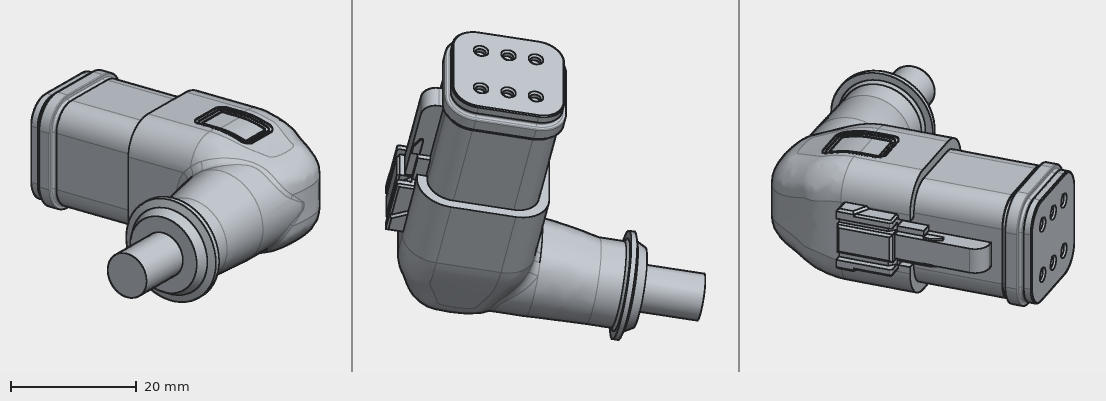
import cadquery as cq

body_size = 18.2
body_corner = 4.2
groove_depth = 0.25
groove_start = 1.4
groove_end = 5.1
seal_size = 19.7
seal_start = 2.2
seal_end = 4.3
seal_foot_radius = 0.4
seal_rounding = 0.15
lip_chamfer = 0.2

contact_y_pitch = 4.45
contact_z_offset = 4.5
contact_diameter = 1.7
contact_depth = 1.0
contact_chamfer = 0.35

hood_size = 21.5
hood_corner = 5.5
hood_start = 20.25
hood_overlap = 1.0
hood_straight_end = 32.2
elbow_side_y = 9.25
elbow_top_z = 8.85
elbow_end_z = 6.2
elbow_end_slope = 0.5
elbow_side_overrun = 1.0
elbow_shoulder = (45.4, 6.4)

leg_x = 40.21
leg_radius = 7.0
leg_root_radius = 8.0
leg_root_x = leg_x + leg_radius - leg_root_radius
leg_crown_y = -1.0
taper_start_y = -11.85
taper_end_y = -21.75
taper_middle_y = -15.5
taper_middle_radius = 7.72
root_fillet = 2.0
touch_tolerance = 0.001

flange_radius = 8.75
flange_top_y = -26.35
flange_bottom_y = -27.25
flange_neck = 0.5
nose_base_radius = 7.4
nose_base_y = -27.7
nose_tip_radius = 6.5
nose_tip_y = -29.35
cable_radius = 3.8
cable_end_y = -39.37

latch_top_y = 13.54
tongue_top_y = 12.35
tongue_half_width = 2.15
tongue_start = 7.0
tongue_front_radius = 2.4
latch_start = 22.25
latch_end = 31.8
latch_rounding = 0.4
latch_embed = 1.5
rail_inner_z = 3.7
rail_outer_z = 5.0
web_ramp = 1.1
pad_outer_z = 5.4
pad_base_y = 10.25
pad_base_x = 27.0
pad_top_x = 28.8
pad_slope = 0.4
rail_bevel = 0.35
tab_half_width = 2.5
slot_half_width = 4.1
ledge_start = 17.7
ledge_top_y = 11.15
ledge_half_width = 3.1
barb_half_width = 2.5
barb_points = [(14.4, 10.9), (14.4, 11.4), (16.0, 12.2), (17.4, 12.2), (17.4, 10.9)]

badge_center = (33.1, 0.15)
badge_length = 10.9
badge_width = 7.9
badge_corner = 1.4
badge_insets = (0, 0.55, 1.15)
badge_step = 0.17


def rounded_bar(size, corner, start, end):
    """Square bar along X with rounded long edges."""
    bar = cq.Workplane("YZ").workplane(offset=start).rect(size, size).extrude(end - start)
    return bar.edges("|X").fillet(corner)


def box(x_span, y_span, z_span):
    """Box from its three coordinate ranges."""
    spans = (x_span, y_span, z_span)
    sizes = [high - low for low, high in spans]
    return cq.Workplane("XY").box(*sizes, centered=False).translate([low for low, high in spans])


def make_seal():
    """Sealing rib on the groove floor, with concave feet and rounded crests."""
    floor_size = body_size - 2 * groove_depth
    seal_corner = body_corner + (seal_size - body_size) / 2
    floor = rounded_bar(floor_size, body_corner - groove_depth, groove_start, groove_end)
    rib = rounded_bar(seal_size, seal_corner, seal_start, seal_end)
    rib = rib.faces("<X or >X").edges().fillet(seal_rounding)
    seal = floor.union(rib)
    flanks = [face for face in seal.faces("|X").vals() if face.innerWires()]
    feet = [edge for face in flanks for edge in face.innerWires()[0].Edges()]
    return seal.newObject(feet).fillet(seal_foot_radius)


def make_body():
    lip = rounded_bar(body_size, body_corner, 0, groove_start).faces("<X").chamfer(lip_chamfer)
    shell = rounded_bar(body_size, body_corner, groove_end, hood_start + hood_overlap)
    return lip.union(make_seal()).union(shell)


def cut_contacts(part):
    """Shallow chamfered openings in two rows of three."""
    rows = (-contact_z_offset, contact_z_offset)
    columns = (-contact_y_pitch, 0, contact_y_pitch)
    for y, z in [(y, z) for y in columns for z in rows]:
        opening = cq.Workplane("YZ", origin=(0, y, z)).circle(contact_diameter / 2).extrude(contact_depth)
        mouth = cq.Solid.makeCone(contact_diameter / 2 + contact_chamfer, contact_diameter / 2,
                                  contact_chamfer, pnt=cq.Vector(0, y, z), dir=cq.Vector(1, 0, 0))
        part = part.cut(opening).cut(cq.Workplane(mouth))
    return part


def make_elbow():
    """Hood end whose plan and side outlines both close in toward the far end."""
    half = hood_size / 2
    tip_x = leg_x + leg_radius
    side_end_x = tip_x + elbow_side_overrun
    shoulder_x, shoulder_y = elbow_shoulder
    plan_curve = [
        (leg_x, -elbow_side_y),
        (shoulder_x, -shoulder_y),
        (tip_x, 0),
        (shoulder_x, shoulder_y),
        (leg_x, elbow_side_y),
        (hood_straight_end, half),
    ]
    plan = (
        cq.Workplane("XY").workplane(offset=-half)
        .moveTo(hood_start, -half)
        .lineTo(hood_straight_end, -half)
        .spline(plan_curve, tangents=[(1, 0), (-1, 0)], includeCurrent=True)
        .lineTo(hood_start, half)
        .close().extrude(hood_size)
    )
    lower_curve = [(leg_x, -elbow_top_z), (side_end_x, -elbow_end_z)]
    upper_curve = [(leg_x, elbow_top_z), (hood_straight_end, half)]
    side = (
        cq.Workplane("XZ").workplane(offset=-half)
        .moveTo(hood_start, -half)
        .lineTo(hood_straight_end, -half)
        .spline(lower_curve, tangents=[(1, 0), (1, elbow_end_slope)], includeCurrent=True)
        .lineTo(side_end_x, elbow_end_z)
        .spline(upper_curve, tangents=[(-1, elbow_end_slope), (-1, 0)], includeCurrent=True)
        .lineTo(hood_start, half)
        .close().extrude(hood_size)
    )
    elbow = plan.intersect(side)
    long_edges = [edge for edge in elbow.edges().vals() if edge.BoundingBox().xlen > touch_tolerance]
    return elbow.newObject(long_edges).fillet(hood_corner)


def make_leg():
    """Tapered leg with a spherical crown buried in the elbow."""
    crown = cq.Workplane("XY").sphere(leg_root_radius).translate((leg_root_x, leg_crown_y, 0))
    root = (
        cq.Workplane("XZ", origin=(leg_root_x, leg_crown_y, 0))
        .circle(leg_root_radius).extrude(leg_crown_y - taper_start_y)
    )
    sections = [
        (taper_start_y, leg_root_radius),
        (taper_middle_y, taper_middle_radius),
        (taper_end_y, leg_radius),
    ]
    rings = []
    for y, radius in sections:
        center = cq.Vector(leg_x + leg_radius - radius, y, 0)
        rings.append(cq.Wire.makeCircle(radius, center, cq.Vector(0, -1, 0)))
    taper = cq.Workplane(cq.Solid.makeLoft(rings))
    return crown.union(root).union(taper)


def make_leg_end():
    """Sleeve, flange, nose cone and cable turned about the leg axis."""
    profile = [
        (0, taper_end_y),
        (leg_radius, taper_end_y),
        (leg_radius, flange_top_y + flange_neck),
        (leg_radius + flange_neck, flange_top_y),
        (flange_radius, flange_top_y),
        (flange_radius, flange_bottom_y),
        (nose_base_radius, nose_base_y),
        (nose_tip_radius, nose_tip_y),
        (cable_radius, nose_tip_y),
        (cable_radius, cable_end_y),
        (0, cable_end_y),
    ]
    turned = cq.Workplane("XY").polyline(profile).close().revolve(360, (0, 0, 0), (0, 1, 0))
    return turned.translate((leg_x, 0, 0))


def make_latch():
    """Tongue, cross web and centre tab flanked by two guide rails."""
    base_y = body_size / 2 - latch_embed
    tongue = box((tongue_start, latch_end), (base_y, tongue_top_y), (-tongue_half_width, tongue_half_width))
    tongue = tongue.edges("<X and >Y").fillet(tongue_front_radius)
    barb = (
        cq.Workplane("XY").workplane(offset=-barb_half_width)
        .polyline(barb_points).close().extrude(2 * barb_half_width)
    )
    ledge = box((ledge_start, latch_end), (base_y, ledge_top_y), (-ledge_half_width, ledge_half_width))
    web = box((latch_start, latch_end), (base_y, tongue_top_y), (-rail_inner_z, rail_inner_z))
    web = web.edges("<X and >Y").chamfer(web_ramp)
    tab = box((latch_start, latch_end), (base_y, latch_top_y), (-tab_half_width, tab_half_width))
    tab = tab.edges(">Y").chamfer(latch_rounding)
    latch = tongue.union(barb).union(ledge).union(web).union(tab)
    rail = make_rail(base_y)
    return latch.union(rail).union(rail.mirror("XY"))


def make_rail(base_y):
    """Guide rail whose outer side steps out over a slanted ramp."""
    rail = box((latch_start, latch_end), (base_y, latch_top_y), (rail_inner_z, rail_outer_z))
    rail = rail.edges("<X and >Y").fillet(latch_rounding)
    rail = rail.faces(">Z").edges("not <Y").edges("not >X").chamfer(rail_bevel)
    pad = (
        cq.Workplane("XY").workplane(offset=rail_inner_z)
        .polyline([
            (pad_base_x, pad_base_y),
            (pad_top_x, latch_top_y),
            (latch_end, latch_top_y),
            (latch_end, pad_base_y),
        ])
        .close().extrude(pad_outer_z - rail_inner_z)
    )
    pad = pad.faces(">Z").edges("<X or >X or >Y").chamfer(pad_slope)
    return rail.union(pad)


def cut_badge(part):
    """Stepped recess whose floors follow the curved top of the hood."""
    elbow = make_elbow()
    for level, inset in enumerate(badge_insets, start=1):
        plug = (
            cq.Workplane("XY", origin=(*badge_center, 0))
            .rect(badge_length - 2 * inset, badge_width - 2 * inset)
            .extrude(hood_size / 2)
            .edges("|Z").fillet(badge_corner - inset)
        )
        part = part.cut(plug.cut(elbow.translate((0, 0, -level * badge_step))))
    return part


def cut_latch_slot(part):
    """Open the hood mouth around the latch tongue, down to the connector body."""
    slot = box((hood_start, latch_start), (body_size / 2, hood_size / 2), (-slot_half_width, slot_half_width))
    return part.cut(slot)


def lies_on(point, solid):
    """True when the point touches the outer skin of the solid."""
    skin = solid.val().Shells()[0]
    return cq.Vertex.makeVertex(*point.toTuple()).distance(skin) < touch_tolerance


def make_housing():
    """Elbow and leg joined with a fillet along their seam."""
    elbow = make_elbow()
    leg = make_leg()
    housing = elbow.union(leg)
    seam = []
    for edge in housing.edges().vals():
        middle = edge.positionAt(0.5)
        below_crown = middle.y < leg_crown_y - touch_tolerance
        if below_crown and lies_on(middle, elbow) and lies_on(middle, leg):
            seam.append(edge)
    return cut_latch_slot(housing.newObject(seam).fillet(root_fillet))


result = make_body().union(make_housing()).union(make_leg_end()).union(make_latch())
result = cut_badge(cut_contacts(result))